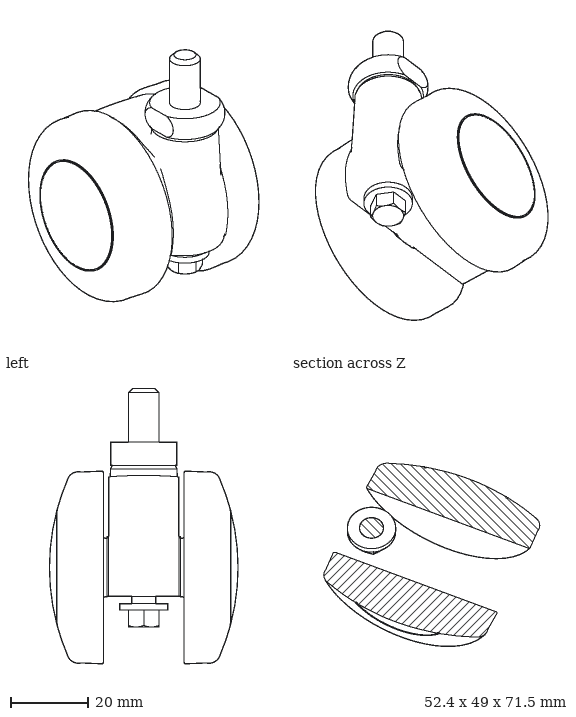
import cadquery as cq
import math


wheel_radius = 25.0
tread_end_radius = 24.8
wheel_inner_y = 10.45
tread_end_y = 16.2
dome_edge_radius = 22.6
dome_edge_y = 19.9
overall_width = 49.0
wheel_edge_fillet = 0.5
shoulder_bulge = 0.85
cap_radius = 15.1
groove_width = 0.35
groove_depth = 0.2
hub_radius = 7.65
hub_fillet = 0.35

drum_half_width = 9.1
drum_edge_radius = 23.5
drum_crown_radius = 23.9
housing_bottom_z = -7.5
side_boss_radius = 8.1
side_boss_height = 0.4
tower_top_z = 26.45
tower_neck_z = 25.5
tower_rim_radius = 8.2
tower_neck_radius = 8.65
tower_foot_radius = 10.3
tower_foot_fillet = 1.6
tower_root_fillet = 2.15

stem_x = 17.0
stem_radius = 4.0
stem_top_z = 46.5
stem_chamfer = 1.15
collar_height = 6.1
collar_radius = 10.4
collar_face_radius = 9.15
collar_across_flats = 17.15
spindle_radius = 3.15
flange_top_z = -9.4
flange_height = 1.7
flange_radius = 6.3
hex_across_flats = 8.0
hex_bottom_z = -15.45
hex_chamfer_height = 0.4

hub_end_y = drum_half_width + side_boss_height
dome_top_y = overall_width / 2
wide_drum_half_width = drum_half_width + 3 * tower_root_fillet


def dome_y(radius):
    """Height of the spherical wheel dome at a distance from the axle."""
    sag = dome_top_y - dome_edge_y
    sphere_radius = (dome_edge_radius**2 + sag**2) / (2 * sag)
    return dome_top_y - sphere_radius + math.sqrt(sphere_radius**2 - radius**2)


def make_wheel():
    """Wheel on the +Y side with its domed outer face and short hub."""
    shoulder_chord_r = dome_edge_radius - tread_end_radius
    shoulder_chord_y = dome_edge_y - tread_end_y
    chord = math.hypot(shoulder_chord_r, shoulder_chord_y)
    shoulder_mid = (
        (tread_end_radius + dome_edge_radius) / 2 + shoulder_bulge * shoulder_chord_y / chord,
        (tread_end_y + dome_edge_y) / 2 - shoulder_bulge * shoulder_chord_r / chord,
    )
    dome_mid_radius = dome_edge_radius / 2
    wheel = (
        cq.Workplane("XY")
        .moveTo(0, hub_end_y)
        .lineTo(hub_radius, hub_end_y)
        .lineTo(hub_radius, wheel_inner_y - hub_fillet)
        .radiusArc((hub_radius + hub_fillet, wheel_inner_y), hub_fillet)
        .lineTo(wheel_radius - wheel_edge_fillet, wheel_inner_y)
        .radiusArc((wheel_radius, wheel_inner_y + wheel_edge_fillet), -wheel_edge_fillet)
        .lineTo(tread_end_radius, tread_end_y)
        .threePointArc(shoulder_mid, (dome_edge_radius, dome_edge_y))
        .threePointArc((dome_mid_radius, dome_y(dome_mid_radius)), (0, dome_top_y))
        .close()
        .revolve(360, (0, 0, 0), (0, 1, 0))
    )
    groove_floor_y = dome_y(cap_radius) - groove_depth
    groove = (
        cq.Workplane("XZ", origin=(0, groove_floor_y, 0))
        .circle(cap_radius)
        .circle(cap_radius - groove_width)
        .extrude(groove_floor_y - dome_top_y)
    )
    return wheel.cut(groove)


def make_drum(half_width):
    """Barrel-shaped drum about the axle; its crown passes through the drum edge radius."""
    crown = drum_crown_radius - drum_edge_radius
    crown_arc = (drum_half_width**2 + crown**2) / (2 * crown)
    end_radius = drum_crown_radius - crown_arc + math.sqrt(crown_arc**2 - half_width**2)
    return (
        cq.Workplane("XY")
        .moveTo(0, -half_width)
        .lineTo(end_radius, -half_width)
        .threePointArc((drum_crown_radius, 0), (end_radius, half_width))
        .lineTo(0, half_width)
        .close()
        .revolve(360, (0, 0, 0), (0, 1, 0))
    )


def make_tower():
    """Tapered round tower for the stem, carried down past the underside of the drum."""
    taper = (tower_foot_radius - tower_neck_radius) / (tower_neck_z - housing_bottom_z)
    end_z = -2 * drum_crown_radius
    end_radius = tower_neck_radius + taper * (tower_neck_z - end_z)
    return (
        cq.Workplane("XZ", origin=(stem_x, 0, 0))
        .moveTo(0, end_z)
        .lineTo(end_radius, end_z)
        .lineTo(tower_neck_radius, tower_neck_z)
        .lineTo(tower_rim_radius, tower_top_z)
        .lineTo(0, tower_top_z)
        .close()
        .revolve(360, (0, 0, 0), (0, 1, 0))
    )


def box_above_bottom(half_width):
    """Box of a given half width in Y, from the flat housing bottom upwards."""
    size = 4 * wheel_radius
    return cq.Workplane("XY", origin=(0, 0, housing_bottom_z)).box(
        size, 2 * half_width, size, centered=(True, True, False)
    )


def make_housing():
    """Drum and stem tower with a flat bottom, two side bosses and a bore for the spindle."""
    body = make_drum(wide_drum_half_width).union(make_tower())
    root_edges = [edge for edge in body.edges().vals() if edge.geomType() == "BSPLINE"]
    body = body.newObject(root_edges).fillet(tower_root_fillet)
    body = body.intersect(box_above_bottom(drum_half_width))
    body = body.faces("<Z").edges(">X").fillet(tower_foot_fillet)

    bosses = (
        cq.Workplane("XZ", origin=(0, hub_end_y, 0))
        .circle(side_boss_radius)
        .extrude(2 * hub_end_y)
        .intersect(box_above_bottom(hub_end_y))
    )
    bore = (
        cq.Workplane("XY", origin=(stem_x, 0, housing_bottom_z))
        .circle(spindle_radius)
        .extrude(tower_top_z - housing_bottom_z)
    )
    return body.union(bosses).cut(bore)


def make_collar():
    """Round collar with a bulging rim and two wrench flats facing +Y and -Y."""
    middle_z = tower_top_z + collar_height / 2
    collar_top_z = tower_top_z + collar_height
    collar = (
        cq.Workplane("XZ", origin=(stem_x, 0, 0))
        .moveTo(0, tower_top_z)
        .lineTo(collar_face_radius, tower_top_z)
        .threePointArc((collar_radius, middle_z), (collar_face_radius, collar_top_z))
        .lineTo(0, collar_top_z)
        .close()
        .revolve(360, (0, 0, 0), (0, 1, 0))
    )
    flats = cq.Workplane("XY", origin=(stem_x, 0, middle_z)).box(
        2 * collar_radius, collar_across_flats, collar_height
    )
    return collar.intersect(flats)


def make_hex_end():
    """Hexagonal lower end with corners on the X axis and chamfered tips."""
    flange_bottom_z = flange_top_z - flange_height
    height = flange_bottom_z - hex_bottom_z
    corner_diameter = hex_across_flats / math.cos(math.pi / 6)
    hexagon = (
        cq.Workplane("XY", origin=(stem_x, 0, hex_bottom_z))
        .polygon(6, corner_diameter)
        .extrude(height)
    )
    tip_cone = (
        cq.Workplane("XY", origin=(stem_x, 0, hex_bottom_z))
        .circle(corner_diameter / 2)
        .extrude(height)
        .faces("<Z")
        .chamfer(hex_chamfer_height, (corner_diameter - hex_across_flats) / 2)
    )
    return hexagon.intersect(tip_cone)


def make_stem():
    """Stem with its collar, the spindle through the housing, and the flanged hexagonal end."""
    collar_middle_z = tower_top_z + collar_height / 2
    shank = (
        cq.Workplane("XY", origin=(stem_x, 0, collar_middle_z))
        .circle(stem_radius)
        .extrude(stem_top_z - collar_middle_z)
        .faces(">Z")
        .chamfer(stem_chamfer)
    )
    spindle = (
        cq.Workplane("XY", origin=(stem_x, 0, flange_top_z))
        .circle(spindle_radius)
        .extrude(collar_middle_z - flange_top_z)
    )
    flange = (
        cq.Workplane("XY", origin=(stem_x, 0, flange_top_z))
        .circle(flange_radius)
        .extrude(-flange_height)
    )
    return make_collar().union(shank).union(spindle).union(flange).union(make_hex_end())


housing = make_housing()
stem = make_stem()
wheels = []
for turn in (0, 180):
    wheels.append(make_wheel().rotate((0, 0, 0), (0, 0, 1), turn))

result = cq.Compound.makeCompound([housing.val(), stem.val(), *[wheel.val() for wheel in wheels]])